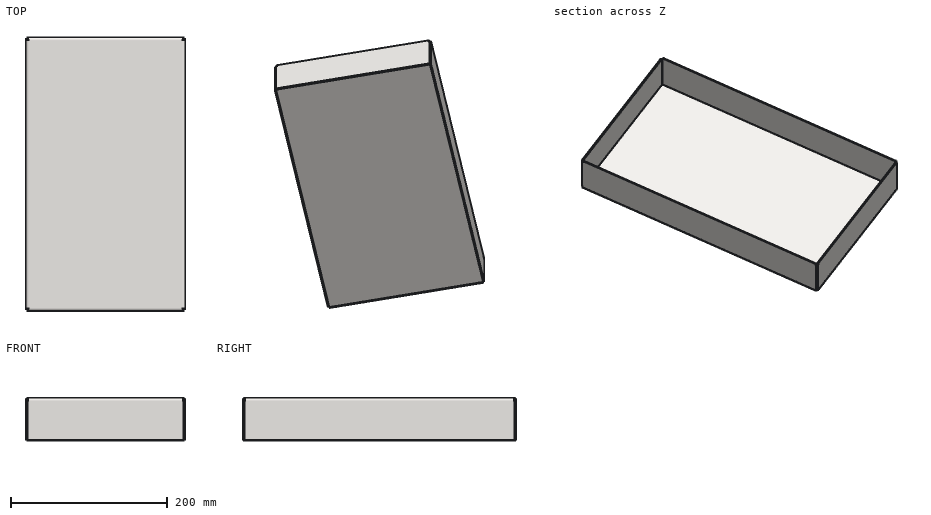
import cadquery as cq

length = 350.0
width = 204.0
height = 55.0
sheet = 2.0
inner_bend = sheet
outer_bend = inner_bend + sheet

wall_setback = 2.28
bend_setback = 3.32

floor_protrusion = 1.0
floor_thickness = sheet
floor_inset = 1.8


def block(size_x, size_y, bottom, top):
    """Box centred on the Z axis between two heights."""
    base = cq.Workplane("XY").workplane(offset=bottom)
    return base.rect(size_x, size_y).extrude(top - bottom)


def folded_channel(span, depth):
    """Panel with a bent-down wall at each X end, extending over depth along Y."""
    outer = block(span, depth, floor_protrusion, height)
    outer = outer.edges("|Y and >Z").fillet(outer_bend)
    cavity = block(span - 2 * sheet, depth, floor_protrusion, height - sheet)
    cavity = cavity.edges("|Y and >Z").fillet(inner_bend)
    return outer.cut(cavity)


def wall_pair(span, neighbour_span):
    """Two opposite walls with relieved bends, without the panel between them."""
    channel = folded_channel(span, neighbour_span - 2 * wall_setback)
    walls = channel.cut(block(span - 2 * outer_bend, neighbour_span, floor_protrusion, height))
    bend_bottom = height - outer_bend
    straight_zone = block(span, neighbour_span, floor_protrusion, bend_bottom)
    bend_zone = block(span, neighbour_span - 2 * bend_setback, bend_bottom, height)
    return walls.intersect(straight_zone.union(bend_zone))


top_panel = block(width - 2 * outer_bend, length - 2 * outer_bend, height - sheet, height)
side_walls = wall_pair(width, length)
end_walls = wall_pair(length, width).rotate((0, 0, 0), (0, 0, 1), 90)
floor_plate = block(width - 2 * floor_inset, length - 2 * floor_inset, 0, floor_thickness)

result = top_panel.union(side_walls).union(end_walls).union(floor_plate)